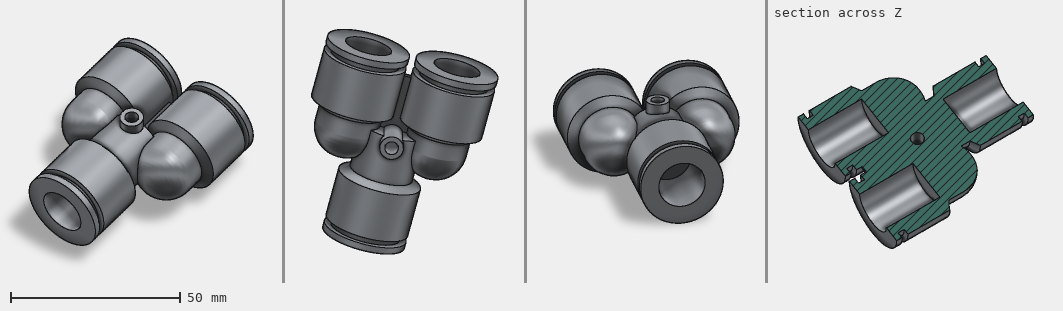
import cadquery as cq
import math

total_length = 58.0
port_offset = 13.5
inlet_face_y = -total_length / 2
outlet_face_y = total_length / 2

barrel_radius = 12.5
groove_radius = 10.5
neck_radius = 9.5
bore_radius = 7.0
release_ring_end = 2.0
groove_end = 4.0
barrel_end = 19.0
shoulder_angle = 30.0
shoulder_length = (barrel_radius - neck_radius) * math.tan(math.radians(shoulder_angle))
shoulder_end = barrel_end + shoulder_length
bore_depth = barrel_end

dome_start = 26.0
dome_round = 9.0
dome_flat_radius = neck_radius - dome_round
dome_end = dome_start + dome_round
inlet_neck_end = 35.0

post_radius = 3.5
post_hole_radius = 2.0
post_height = 2 * barrel_radius
post_setback = 25.0
post_y = outlet_face_y - post_setback

web_thickness = 2.0
web_setback = 6.0
web_top_y = outlet_face_y - web_setback


def start_socket_profile():
    """Open half profile (radius, distance from face) down to the neck."""
    return (
        cq.Workplane("XY")
        .moveTo(0, 0)
        .lineTo(barrel_radius, 0)
        .lineTo(barrel_radius, release_ring_end)
        .lineTo(groove_radius, release_ring_end)
        .lineTo(groove_radius, groove_end)
        .lineTo(barrel_radius, groove_end)
        .lineTo(barrel_radius, barrel_end)
        .lineTo(neck_radius, shoulder_end)
    )


def revolve_about_port_axis(profile):
    return profile.close().revolve(360, (0, 0, 0), (0, 1, 0))


def make_inlet():
    """Inlet socket with a plain cylindrical neck, pointing into the junction."""
    profile = (
        start_socket_profile()
        .lineTo(neck_radius, inlet_neck_end)
        .lineTo(0, inlet_neck_end)
    )
    return revolve_about_port_axis(profile).translate((0, inlet_face_y, 0))


def make_outlet(x):
    """Outlet socket whose neck closes in a rounded dome with a tiny flat tip."""
    diagonal = dome_round * math.sqrt(0.5)
    profile = (
        start_socket_profile()
        .lineTo(neck_radius, dome_start)
        .threePointArc(
            (dome_flat_radius + diagonal, dome_start + diagonal),
            (dome_flat_radius, dome_end),
        )
        .lineTo(0, dome_end)
    )
    outlet = revolve_about_port_axis(profile).mirror("XZ")
    return outlet.translate((x, outlet_face_y, 0))


def make_web():
    """Flat plate filling the gap between the outlets, back to the post axis."""
    length = web_top_y - post_y
    plate = cq.Workplane("XY").box(2 * port_offset, length, web_thickness)
    return plate.translate((0, post_y + length / 2, 0))


def make_upright_cylinder(radius):
    return (
        cq.Workplane("XY", origin=(0, post_y, -post_height / 2))
        .circle(radius)
        .extrude(post_height)
    )


def make_bore(x, face_y, inward):
    """Blind tube bore; inward is the Y direction (+1 or -1) leading into the part."""
    bore = cq.Solid.makeCylinder(
        bore_radius, bore_depth, cq.Vector(x, face_y, 0), cq.Vector(0, inward, 0)
    )
    return cq.Workplane(obj=bore)


outlet_positions = (-port_offset, port_offset)

body = make_inlet()
for outlet_x in outlet_positions:
    body = body.union(make_outlet(outlet_x))
body = body.union(make_web())
body = body.union(make_upright_cylinder(post_radius))

body = body.cut(make_bore(0, inlet_face_y, 1))
for outlet_x in outlet_positions:
    body = body.cut(make_bore(outlet_x, outlet_face_y, -1))
body = body.cut(make_upright_cylinder(post_hole_radius))

result = body